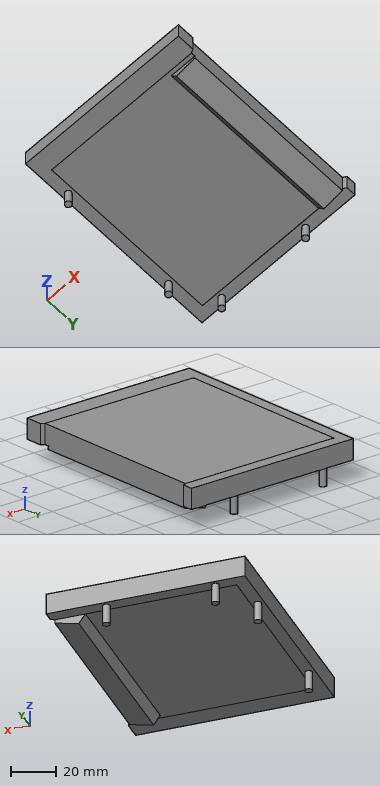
import cadquery as cq

LENGTH_X = 94.1
WIDTH_Y = 112.7
TOTAL_HEIGHT = 19.5
FRAME_HEIGHT = 10.1

RAIL_WIDTH = 6.2
FRONT_STRIP = 4.1
LEAD_IN_X = 1.8
LEAD_IN_Y = 1.0

OPENING_X = RAIL_WIDTH
OPENING_Y_MIN = FRONT_STRIP + RAIL_WIDTH
OPENING_Y_MAX = WIDTH_Y - RAIL_WIDTH

PIN_DIAMETER = 3.5
PIN_LENGTH = TOTAL_HEIGHT - FRAME_HEIGHT
LEFT_PIN_X = RAIL_WIDTH / 2
BACK_PIN_Y = WIDTH_Y - RAIL_WIDTH / 2
PIN_POSITIONS = [
    (LEFT_PIN_X, 24.1),
    (LEFT_PIN_X, 88.1),
    (15.1, BACK_PIN_Y),
    (66.7, BACK_PIN_Y),
]

PANEL_END_X = LENGTH_X - LEAD_IN_X
GRIP_START_X = 77.8
GRIP_TIP_X = 80.9
GRIP_DEPTH = 4.3
GRIP_END_DEPTH = 1.7
GRIP_Y_MIN = 12.4


def make_frame():
    """Three-sided frame with lead-in chamfers at its mouth and pins below."""
    outline = [
        (0, 0),
        (LENGTH_X, 0),
        (LENGTH_X, OPENING_Y_MIN - LEAD_IN_Y),
        (PANEL_END_X, OPENING_Y_MIN),
        (OPENING_X, OPENING_Y_MIN),
        (OPENING_X, OPENING_Y_MAX),
        (PANEL_END_X, OPENING_Y_MAX),
        (LENGTH_X, OPENING_Y_MAX + LEAD_IN_Y),
        (LENGTH_X, WIDTH_Y),
        (0, WIDTH_Y),
    ]
    frame = cq.Workplane("XY").polyline(outline).close().extrude(FRAME_HEIGHT)
    for pin_x, pin_y in PIN_POSITIONS:
        pin = cq.Workplane("XY").center(pin_x, pin_y).circle(PIN_DIAMETER / 2).extrude(-PIN_LENGTH)
        frame = frame.union(pin)
    return frame


def make_panel():
    """Panel that fills the opening flush, with a wedge-shaped grip below."""
    plate = cq.Workplane("XY").box(
        PANEL_END_X - OPENING_X,
        OPENING_Y_MAX - OPENING_Y_MIN,
        FRAME_HEIGHT,
        centered=False,
    ).translate((OPENING_X, OPENING_Y_MIN, 0))
    grip_profile = [
        (GRIP_START_X, 0),
        (GRIP_TIP_X, -GRIP_DEPTH),
        (PANEL_END_X, -GRIP_END_DEPTH),
        (PANEL_END_X, 0),
    ]
    grip = (
        cq.Workplane("XZ", origin=(0, GRIP_Y_MIN, 0))
        .polyline(grip_profile)
        .close()
        .extrude(GRIP_Y_MIN - OPENING_Y_MAX)
    )
    return plate.union(grip)


frame = make_frame()
panel = make_panel()

result = cq.Compound.makeCompound([frame.val(), panel.val()])